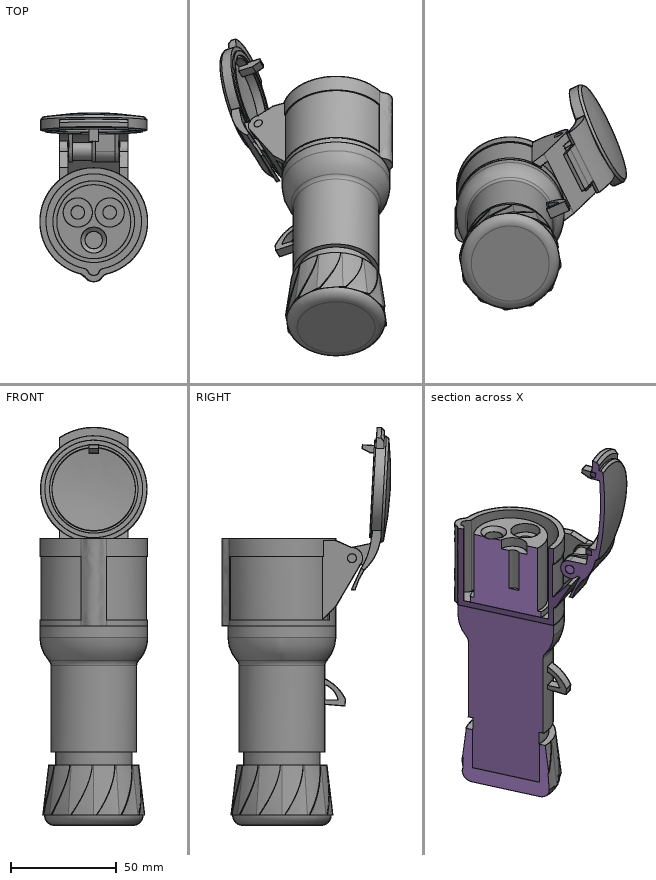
import cadquery as cq
import math

COLLAR_R = 25.5
WALL_R = 25.0
SLEEVE_R = 20.3
NECK_R = 18.1

CAP_TOP_Z = 28.5
SLEEVE_BOTTOM_Z = 34.7
BELL_BOTTOM_Z = 75.6
JOINT_Z = 94.3
FLANGE_TOP_Z = 97.2
COLLAR_BOTTOM_Z = 127.1
RIM_Z = 135.7

CAP_TOP_R = 21.3
CAP_LIP_R = 24.1
CAP_BASE_R = 23.3
CAP_LIP_Z = 4.9
CAP_FLOOR_Z = 8.0
GRIP_COUNT = 12
GRIP_TWIST = 25.0
GRIP_CURVE_POWER = 1.6
GRIP_DEPTH_TOP = 0.2
GRIP_DEPTH_BOTTOM = 0.5
GRIP_START_ANGLE = 2.0
GRIP_SECTIONS = 6
GRIP_CLEARANCE = 1.5

BELL_ARC_R = 16.0
BELL_FILLET_R = 3.4
LOOP_WIDTH = 5.0
LOOP_ROOT_Y = 18.5

LOOP_TOP = (20.2, 69.4)
LOOP_BOW = (25.8, 65.5)
LOOP_TIP_HIGH = (30.1, 59.5)
LOOP_TIP_LOW = (29.8, 56.4)
LOOP_BOTTOM = (20.2, 57.2)
LOOP_HOLE_TOP = (20.9, 66.3)
LOOP_HOLE_BOW = (24.2, 63.8)
LOOP_HOLE_TIP = (26.5, 59.3)

SOCKET_R = 22.6
KEY_TIP_Y = 28.4
KEY_HALF_WIDTH = 6.1
KEYWAY_TIP_Y = 25.4
KEYWAY_HALF_WIDTH = 4.3
KEY_SHOULDER_DROP = 0.28

INSERT_R = 17.5
INSERT_FOOT_R = 19.3
INSERT_FOOT_HEIGHT = 3.0
INSERT_RECESS = 1.5
CONTACT_CIRCLE_R = 8.7
POLE_ANGLES = (30, 150)
POLE_POCKET_R = 6.9
POLE_POCKET_DEPTH = 4.6
POLE_HOLE_R = 3.2
EARTH_MOUTH_R = 6.1
EARTH_HOLE_R = 4.1
CONTACT_DEPTH = 25.0

PIN_Y = 33.1
PIN_Z = 126.3
PIN_R = 2.1
EAR_OUTER_X = 16.2
EAR_INNER_X = 12.2
EAR_R = 5.0
EAR_TOP_Z = 134.7
EAR_SHOULDER_Y = 25.5
EAR_KNEE = (25.6, 103.7)
EAR_FOOT = (19.2, 97.3)
WEB_THICKNESS = 2.0
WEB_TOP_Z = 118.0

LID_CENTRE_Y = 43.3
LID_CENTRE_Z = 159.0
LID_TILT = 3.0
LID_R = 25.2
LID_BACK_R = 24.2
LID_BAND = 4.7
LID_EDGE_THICKNESS = 6.0
LID_THICKNESS = 7.94
LID_CAVITY_R = 19.7
LID_CAVITY_EDGE_DEPTH = 4.2
LID_CAVITY_DEPTH = 5.6
GASKET_INNER_R = 20.9
GASKET_OUTER_R = 23.1
GASKET_DEPTH = 2.0
GASKET_PROUD = 0.7
TAB_R = 29.2
TAB_BACK = 3.8
TAB_FRONT_STEP = 0.1
TAB_BEVEL = 1.5
PEG_WIDTH = 4.6
PEG_HEIGHT = 3.6
PEG_TOP_Y = 20.6
PEG_LENGTH = 6.4
PEG_TAPER_START = 2.5
RIB_SLOPE = 12.0
RIB_BACK_Y = 42.2
RIB_BACK_LOW_Z = 128.0
RIB_FOOT = (38.8, 122.5)
RIB_WIDTH = 1.9
RIB_OUTER_X = 11.9
MID_RIB_HALF = 0.8
BARREL_R = 4.2
BLOCK_R = 4.8
TAIL_HALF_WIDTH = 10.0

PLATE_TOP_BACK = (46.9, 139.4)
PLATE_MID_BACK = (44.6, 128.4)
PLATE_END_BACK = (38.8, 120.6)
PLATE_END_FRONT = (37.4, 121.6)
PLATE_MID_FRONT = (40.2, 127.0)
PLATE_BEND_FRONT = (41.9, 133.3)
PLATE_TOP_FRONT = (42.9, 139.4)
TAIL_MID_BACK = (36.4, 116.2)
TAIL_TIP_BACK = (34.5, 111.2)
TAIL_TIP_FRONT = (32.8, 111.4)


def prism_x(outline, x_min, x_max):
    """Extrude a closed (Y, Z) outline from x_min to x_max."""
    return cq.Workplane("YZ", origin=(x_min, 0, 0)).polyline(outline).close().extrude(x_max - x_min)


def rod_x(radius, x_min, x_max):
    """Cylinder on the hinge axis from x_min to x_max."""
    plane = cq.Workplane("YZ", origin=(x_min, PIN_Y, PIN_Z))
    return plane.circle(radius).extrude(x_max - x_min)


def cylinder(radius, z_min, z_max, x=0, y=0):
    return cq.Workplane("XY", origin=(x, y, z_min)).circle(radius).extrude(z_max - z_min)


def ring(outer_r, inner_r, z_min, z_max):
    return cylinder(outer_r, z_min, z_max).cut(cylinder(inner_r, z_min, z_max))


def key_prism(base_r, tip_y, half_width, z_min, z_max):
    """Smooth lobe at -Y that leaves a circle of radius base_r tangentially at +-half_width."""
    base_y = -math.sqrt(base_r**2 - half_width**2)
    shoulder_x = half_width / 2
    shoulder_y = -tip_y + KEY_SHOULDER_DROP * (tip_y + base_y)
    left_tangent = (-base_y / base_r, -half_width / base_r)
    right_tangent = (-base_y / base_r, half_width / base_r)
    return (
        cq.Workplane("XY", origin=(0, 0, z_min))
        .moveTo(-half_width, base_y)
        .spline(
            [(-shoulder_x, shoulder_y), (0, -tip_y), (shoulder_x, shoulder_y), (half_width, base_y)],
            tangents=[left_tangent, right_tangent],
            includeCurrent=True,
        )
        .lineTo(0, 0)
        .close()
        .extrude(z_max - z_min)
    )


def grip_scoop(start_angle):
    """Facet cut that widens and deepens downwards from a straight line to a curved spiral edge."""
    sections = []
    for i in range(GRIP_SECTIONS + 1):
        drop = i / GRIP_SECTIONS
        z = CAP_TOP_Z + (CAP_LIP_Z - CAP_TOP_Z) * drop
        surface_r = CAP_TOP_R + (CAP_LIP_R - CAP_TOP_R) * drop
        depth = GRIP_DEPTH_TOP + (GRIP_DEPTH_BOTTOM - GRIP_DEPTH_TOP) * drop
        first = math.radians(start_angle)
        last = first - math.radians(GRIP_START_ANGLE + GRIP_TWIST * drop**GRIP_CURVE_POWER)
        polar = [
            (surface_r, first),
            (surface_r + GRIP_CLEARANCE, first),
            (surface_r + GRIP_CLEARANCE, last),
            (surface_r - depth, last),
        ]
        points = [cq.Vector(r * math.cos(a), r * math.sin(a), z) for r, a in polar]
        sections.append(cq.Wire.makePolygon(points, close=True))
    return cq.Solid.makeLoft(sections)


def make_cap():
    edge_c_r = CAP_BASE_R - CAP_LIP_Z
    edge_mid = CAP_LIP_Z * math.sqrt(0.5)
    body = (
        cq.Workplane("XZ")
        .lineTo(edge_c_r, 0)
        .threePointArc((edge_c_r + edge_mid, CAP_LIP_Z - edge_mid), (CAP_BASE_R, CAP_LIP_Z))
        .lineTo(CAP_LIP_R, CAP_LIP_Z)
        .lineTo(CAP_TOP_R, CAP_TOP_Z)
        .lineTo(0, CAP_TOP_Z)
        .close()
        .revolve(360, (0, 0, 0), (0, 1, 0))
    )
    for i in range(GRIP_COUNT):
        body = body.cut(cq.Workplane(grip_scoop(i * 360 / GRIP_COUNT)))
    return body.cut(cylinder(NECK_R, CAP_FLOOR_Z, CAP_TOP_Z))


def hanging_loop():
    """Flat triangular loop with a bowed upper arm, rooted inside the sleeve."""
    plane = cq.Workplane("YZ", origin=(-LOOP_WIDTH / 2, 0, 0))
    outer = (
        plane.moveTo(LOOP_ROOT_Y, LOOP_TOP[1])
        .lineTo(*LOOP_TOP)
        .threePointArc(LOOP_BOW, LOOP_TIP_HIGH)
        .lineTo(*LOOP_TIP_LOW)
        .lineTo(*LOOP_BOTTOM)
        .lineTo(LOOP_ROOT_Y, LOOP_BOTTOM[1])
        .close()
        .extrude(LOOP_WIDTH)
    )
    opening = (
        plane.moveTo(LOOP_ROOT_Y, LOOP_HOLE_TOP[1])
        .lineTo(*LOOP_HOLE_TOP)
        .threePointArc(LOOP_HOLE_BOW, LOOP_HOLE_TIP)
        .lineTo(LOOP_ROOT_Y, LOOP_HOLE_TIP[1])
        .close()
        .extrude(LOOP_WIDTH)
    )
    return outer.cut(opening)


def make_handle():
    bell_c_r = COLLAR_R - BELL_ARC_R
    fillet_c_r = SLEEVE_R + BELL_FILLET_R
    centre_gap = BELL_ARC_R + BELL_FILLET_R
    offset_r = fillet_c_r - bell_c_r
    offset_z = math.sqrt(centre_gap**2 - offset_r**2)
    bell_c_z = BELL_BOTTOM_Z + offset_z
    slope = math.atan2(offset_z, offset_r)

    def bell_point(angle):
        return bell_c_r + BELL_ARC_R * math.cos(angle), bell_c_z - BELL_ARC_R * math.sin(angle)

    def fillet_point(angle):
        return (
            fillet_c_r - BELL_FILLET_R * math.cos(angle),
            BELL_BOTTOM_Z + BELL_FILLET_R * math.sin(angle),
        )

    body = (
        cq.Workplane("XZ")
        .moveTo(0, CAP_FLOOR_Z)
        .lineTo(NECK_R, CAP_FLOOR_Z)
        .lineTo(NECK_R, SLEEVE_BOTTOM_Z)
        .lineTo(SLEEVE_R, SLEEVE_BOTTOM_Z)
        .lineTo(SLEEVE_R, BELL_BOTTOM_Z)
        .threePointArc(fillet_point(slope / 2), fillet_point(slope))
        .threePointArc(bell_point(slope / 2), bell_point(0))
        .lineTo(COLLAR_R, JOINT_Z)
        .lineTo(0, JOINT_Z)
        .close()
        .revolve(360, (0, 0, 0), (0, 1, 0))
    )
    return body.union(hanging_loop())


def ear_tangent_point():
    """Point where the sloping ear edge from the knee touches the round ear end."""
    dy = PIN_Y - EAR_KNEE[0]
    dz = PIN_Z - EAR_KNEE[1]
    angle = math.atan2(dz, dy) - math.asin(EAR_R / math.hypot(dy, dz))
    return PIN_Y + EAR_R * math.sin(angle), PIN_Z - EAR_R * math.cos(angle)


def hinge_ear(x_min):
    tangent = ear_tangent_point()
    inner_y = EAR_FOOT[0]
    outline = [
        (inner_y, EAR_TOP_Z),
        (EAR_SHOULDER_Y, EAR_TOP_Z),
        (PIN_Y, PIN_Z + EAR_R),
        tangent,
        EAR_KNEE,
        EAR_FOOT,
    ]
    x_max = x_min + EAR_OUTER_X - EAR_INNER_X
    return prism_x(outline, x_min, x_max).union(rod_x(EAR_R, x_min, x_max))


def sloping_web():
    tangent_y, tangent_z = ear_tangent_point()
    slope = (tangent_y - EAR_KNEE[0]) / (tangent_z - EAR_KNEE[1])
    top_y = EAR_KNEE[0] + slope * (WEB_TOP_Z - EAR_KNEE[1])
    outline = [
        EAR_KNEE,
        (top_y, WEB_TOP_Z),
        (top_y - WEB_THICKNESS, WEB_TOP_Z),
        (EAR_FOOT[0], EAR_KNEE[1]),
    ]
    return prism_x(outline, -EAR_INNER_X, EAR_INNER_X)


def back_pad():
    """Thickened wall between the ears, below the sloping web."""
    height = EAR_KNEE[1] - FLANGE_TOP_Z
    window = cq.Workplane("XY", origin=(0, COLLAR_R / 2, FLANGE_TOP_Z + height / 2))
    window = window.box(2 * EAR_INNER_X, COLLAR_R, height)
    return cylinder(COLLAR_R, FLANGE_TOP_Z, EAR_KNEE[1]).intersect(window)


def make_housing():
    shell = cylinder(COLLAR_R, JOINT_Z, FLANGE_TOP_Z)
    shell = shell.union(cylinder(WALL_R, FLANGE_TOP_Z, COLLAR_BOTTOM_Z))
    shell = shell.union(cylinder(COLLAR_R, COLLAR_BOTTOM_Z, RIM_Z))
    shell = shell.union(key_prism(COLLAR_R, KEY_TIP_Y, KEY_HALF_WIDTH, JOINT_Z, RIM_Z))
    for x_min in (-EAR_OUTER_X, EAR_INNER_X):
        shell = shell.union(hinge_ear(x_min))
    shell = shell.union(back_pad()).union(sloping_web())
    socket = cylinder(SOCKET_R, FLANGE_TOP_Z, RIM_Z)
    keyway = key_prism(SOCKET_R, KEYWAY_TIP_Y, KEYWAY_HALF_WIDTH, FLANGE_TOP_Z, RIM_Z)
    pin_bore = rod_x(PIN_R, -EAR_OUTER_X, EAR_OUTER_X)
    return shell.cut(socket).cut(keyway).cut(pin_bore)


def make_insert():
    top_z = RIM_Z - INSERT_RECESS
    insert = cylinder(INSERT_R, FLANGE_TOP_Z, top_z)
    foot = cylinder(INSERT_FOOT_R, FLANGE_TOP_Z, FLANGE_TOP_Z + INSERT_FOOT_HEIGHT)
    insert = insert.union(foot)
    bottom_z = top_z - CONTACT_DEPTH
    for angle in POLE_ANGLES:
        x = CONTACT_CIRCLE_R * math.cos(math.radians(angle))
        y = CONTACT_CIRCLE_R * math.sin(math.radians(angle))
        insert = insert.cut(cylinder(POLE_POCKET_R, top_z - POLE_POCKET_DEPTH, top_z, x, y))
        insert = insert.cut(cylinder(POLE_HOLE_R, bottom_z, top_z, x, y))
    funnel_depth = EARTH_MOUTH_R - EARTH_HOLE_R
    earth_y = -CONTACT_CIRCLE_R
    funnel = cq.Solid.makeCone(
        EARTH_HOLE_R, EARTH_MOUTH_R, funnel_depth, cq.Vector(0, earth_y, top_z - funnel_depth)
    )
    return insert.cut(cylinder(EARTH_HOLE_R, bottom_z, top_z, 0, earth_y)).cut(cq.Workplane(funnel))


def place_on_lid(shape):
    tilt = math.radians(LID_TILT)
    plane = cq.Plane(
        origin=(0, LID_CENTRE_Y, LID_CENTRE_Z),
        xDir=(1, 0, 0),
        normal=(0, -math.cos(tilt), math.sin(tilt)),
    )
    return cq.Workplane(shape.val().moved(cq.Location(plane)))


def dome_mid(edge_r, edge_depth, centre_depth):
    """Point halfway along a shallow dome arc, at half the edge radius."""
    rise = centre_depth - edge_depth
    sphere_r = (edge_r**2 + rise**2) / (2 * rise)
    drop = sphere_r - math.sqrt(sphere_r**2 - (edge_r / 2) ** 2)
    return edge_r / 2, -(centre_depth - drop)


def lid_disc():
    solid = (
        cq.Workplane("XZ")
        .moveTo(0, 0)
        .lineTo(LID_R, 0)
        .lineTo(LID_R, -LID_BAND)
        .lineTo(LID_BACK_R, -LID_EDGE_THICKNESS)
        .threePointArc(dome_mid(LID_BACK_R, LID_EDGE_THICKNESS, LID_THICKNESS), (0, -LID_THICKNESS))
        .close()
        .revolve(360, (0, 0, 0), (0, 1, 0))
    )
    tab = (
        cylinder(TAB_R, -TAB_BACK, -TAB_FRONT_STEP)
        .faces("<Z")
        .edges()
        .chamfer(TAB_BEVEL)
        .intersect(cq.Workplane("XY").box(2 * EAR_OUTER_X, TAB_R, 2 * TAB_R).translate((0, TAB_R / 2, 0)))
    )
    return solid.union(tab)


def lid_cavity():
    return (
        cq.Workplane("XZ")
        .moveTo(0, 0)
        .lineTo(LID_CAVITY_R, 0)
        .lineTo(LID_CAVITY_R, -LID_CAVITY_EDGE_DEPTH)
        .threePointArc(
            dome_mid(LID_CAVITY_R, LID_CAVITY_EDGE_DEPTH, LID_CAVITY_DEPTH), (0, -LID_CAVITY_DEPTH)
        )
        .close()
        .revolve(360, (0, 0, 0), (0, 1, 0))
    )


def latch_peg():
    """Peg standing out of the cavity, thinned at the tip from below."""
    low_y = PEG_TOP_Y - PEG_HEIGHT
    outline = [
        (PEG_TOP_Y, -LID_CAVITY_DEPTH),
        (PEG_TOP_Y, PEG_LENGTH),
        (PEG_TOP_Y - PEG_HEIGHT / 2, PEG_LENGTH),
        (low_y, PEG_TAPER_START),
        (low_y, -LID_CAVITY_DEPTH),
    ]
    return prism_x(outline, -PEG_WIDTH / 2, PEG_WIDTH / 2)


def hinge_plate():
    """Curved plate running from the lid rim down to the hinge."""
    return (
        cq.Workplane("YZ", origin=(-EAR_OUTER_X, 0, 0))
        .moveTo(*PLATE_TOP_BACK)
        .threePointArc(PLATE_MID_BACK, PLATE_END_BACK)
        .lineTo(*PLATE_END_FRONT)
        .threePointArc(PLATE_MID_FRONT, PLATE_BEND_FRONT)
        .lineTo(*PLATE_TOP_FRONT)
        .close()
        .extrude(2 * EAR_OUTER_X)
    )


def hinge_tail():
    """Narrower tongue that carries the plate on below the hinge."""
    outline = [PLATE_END_BACK, TAIL_MID_BACK, TAIL_TIP_BACK, TAIL_TIP_FRONT, PLATE_END_FRONT]
    return prism_x(outline, -TAIL_HALF_WIDTH, TAIL_HALF_WIDTH)


def hinge_rib(x_min, x_max, knuckle_r, top_slope):
    """Rib whose top edge is tangent to the knuckle around the hinge pin."""
    slope = math.radians(top_slope)
    back_top_z = PIN_Z + knuckle_r / math.cos(slope) + (RIB_BACK_Y - PIN_Y) * math.tan(slope)
    outline = [
        (RIB_BACK_Y, back_top_z),
        (PIN_Y - knuckle_r * math.sin(slope), PIN_Z + knuckle_r * math.cos(slope)),
        (PIN_Y, PIN_Z),
        RIB_FOOT,
        (RIB_BACK_Y, RIB_BACK_LOW_Z),
    ]
    return prism_x(outline, x_min, x_max).union(rod_x(knuckle_r, x_min, x_max))


def make_lid():
    gasket_groove = ring(GASKET_OUTER_R, GASKET_INNER_R, -GASKET_DEPTH, 0)
    lid = place_on_lid(lid_disc()).union(hinge_plate()).union(hinge_tail())
    lid = lid.cut(place_on_lid(lid_cavity()))
    lid = lid.union(place_on_lid(latch_peg()))
    rib_inner_x = RIB_OUTER_X - RIB_WIDTH
    for x_min, x_max in (
        (-RIB_OUTER_X, -rib_inner_x),
        (-MID_RIB_HALF, MID_RIB_HALF),
        (rib_inner_x, RIB_OUTER_X),
    ):
        lid = lid.union(hinge_rib(x_min, x_max, EAR_R, RIB_SLOPE))
    lid = lid.union(hinge_rib(MID_RIB_HALF, rib_inner_x, BLOCK_R, 0))
    lid = lid.union(rod_x(BARREL_R, -rib_inner_x, -MID_RIB_HALF))
    lid = lid.cut(place_on_lid(gasket_groove))
    return lid.cut(rod_x(PIN_R, -EAR_OUTER_X, EAR_OUTER_X))


def make_gasket():
    return place_on_lid(ring(GASKET_OUTER_R, GASKET_INNER_R, -GASKET_DEPTH, GASKET_PROUD))


cap = make_cap()
handle = make_handle()
housing = make_housing()
insert = make_insert()
lid = make_lid()
gasket = make_gasket()
hinge_pin = rod_x(PIN_R, -EAR_OUTER_X, EAR_OUTER_X)

result = cq.Compound.makeCompound(
    [
        cap.solids().val(),
        handle.solids().val(),
        housing.solids().val(),
        insert.solids().val(),
        lid.solids().val(),
        gasket.solids().val(),
        hinge_pin.solids().val(),
    ]
)